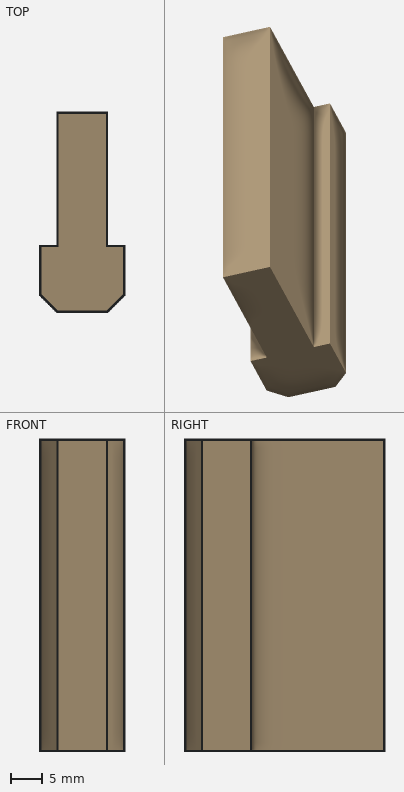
import cadquery as cq

width = 13.5
depth = 32.0
height = 50.0

head_depth = 10.6
stem_width = 8.0
chamfer = (width - stem_width) / 2

head = (
    cq.Workplane("XY")
    .box(width, head_depth, height, centered=(True, False, False))
    .faces("<Y")
    .edges("|Z")
    .chamfer(chamfer)
)

stem = (
    cq.Workplane("XY")
    .workplane(origin=(0, head_depth, 0))
    .box(stem_width, depth - head_depth, height, centered=(True, False, False))
)

result = head.union(stem)